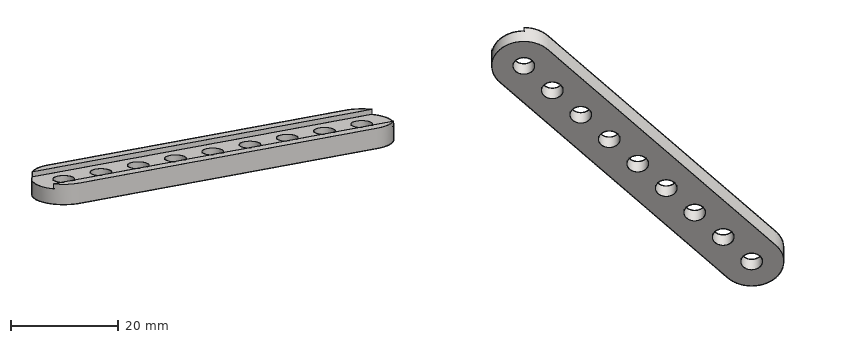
import cadquery as cq

length = 76.0
width = 12.0
height = 4.0

channel_width = 8.0
channel_depth = 1.0

hole_count = 9
hole_diameter = 4.0
hole_pitch = (length - width) / (hole_count - 1)


def rounded_bar():
    """Bar along Y with fully rounded ends, resting on Z = 0."""
    return cq.Workplane("XY").slot2D(length, width, angle=90).extrude(height)


def channel():
    """Straight cutter for the channel in the top face."""
    floor = cq.Workplane("XY").workplane(offset=height - channel_depth)
    return floor.rect(channel_width, length).extrude(channel_depth)


def hole_row():
    """Cylindrical cutters for the row of holes along Y."""
    centres = cq.Workplane("XY").rarray(hole_pitch, hole_pitch, 1, hole_count)
    return centres.circle(hole_diameter / 2).extrude(height)


result = rounded_bar().cut(channel()).cut(hole_row())